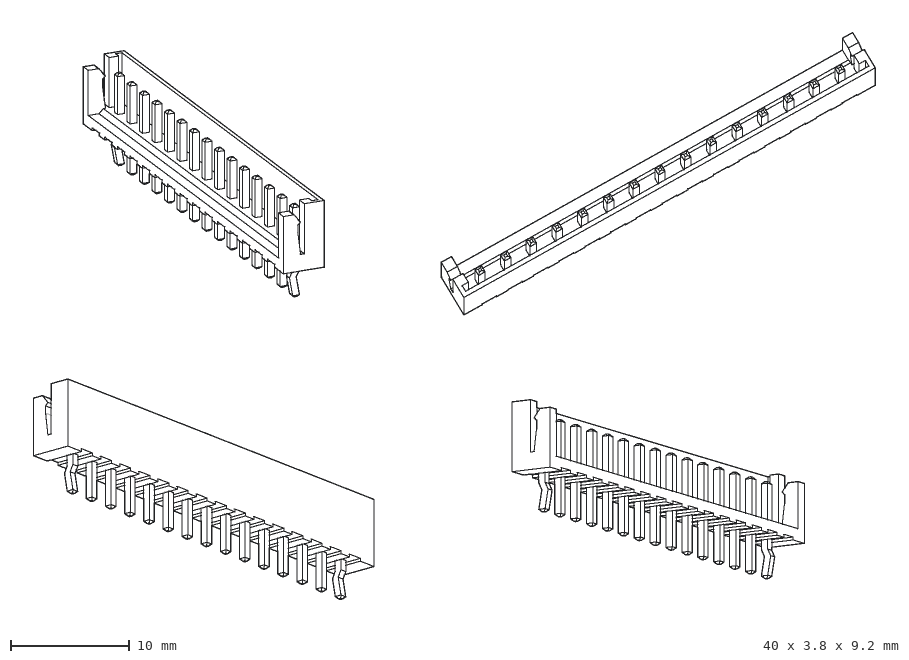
import cadquery as cq

pin_count = 15
pitch = 2.5
pin_size = 0.64
pin_top = 5.1
pin_bottom = -3.2
tip_length = 0.2
tip_size = 0.24

bend_offset = 0.3
bend_start = -0.75
bend_peak = -1.35

end_margin = 2.5
length = (pin_count - 1) * pitch + 2 * end_margin
width = 3.8
height = 6.0
back = 1.6
front = back - width

back_wall = 0.4
back_inner = back - back_wall
recess_depth = 0.57
end_wall = 1.0
thin_end_wall = 0.4
recess_front = back_inner - recess_depth
floor = 1.5
lip_height = 1.1
slope_back = back - 2.4
slope_front = back - 2.8

arm_height = 5.15
slot_back = back - 1.85
nose_y = back - 2.2
nose_z = 4.4
nose_depth = 0.25
nose_chamfer = 0.6
slot_wide_bottom = 3.5

notch_width = 1.4
notch_depth = 0.25

pin_positions = [(i - (pin_count - 1) / 2) * pitch for i in range(pin_count)]


def box(x_range, y_range, z_range):
    """Box spanning the given (low, high) ranges."""
    sizes = [high - low for low, high in (x_range, y_range, z_range)]
    corner = (x_range[0], y_range[0], z_range[0])
    return cq.Workplane("XY").box(*sizes, centered=False).translate(corner)


def prism(outline, x_length):
    """Closed (Y, Z) outline extruded symmetrically about X = 0."""
    return cq.Workplane("YZ").polyline(outline).close().extrude(x_length / 2, both=True)


def cavity():
    """Space between the end walls: flat floor, sloping down to a low front lip."""
    main = prism(
        [
            (back_inner, height),
            (back_inner, floor),
            (slope_back, floor),
            (slope_front, lip_height),
            (front, lip_height),
            (front, height),
        ],
        length - 2 * end_wall,
    )
    recess_x = length / 2 - thin_end_wall
    recess = box((-recess_x, recess_x), (recess_front, back_inner), (floor, height))
    return main.union(recess)


def end_slots():
    """Slot that parts each end wall into a post and a lower, nosed arm."""
    return prism(
        [
            (slot_back, height),
            (slot_back, floor),
            (nose_y, floor),
            (nose_y - nose_depth, slot_wide_bottom),
            (nose_y - nose_depth, nose_z - nose_depth),
            (nose_y, nose_z),
            (nose_y - nose_chamfer, arm_height),
            (front, arm_height),
            (front, height),
        ],
        length,
    )


def housing():
    body = box((-length / 2, length / 2), (front, back), (0, height))
    body = body.cut(cavity()).cut(end_slots())
    for x in pin_positions:
        notch_x = (x - notch_width / 2, x + notch_width / 2)
        body = body.cut(box(notch_x, (front, back), (0, notch_depth)))
    return body


def pin_tip(z, direction):
    """Blunt pyramid on the square pin end at height z; direction is 1 up, -1 down."""
    return (
        cq.Workplane("XY", origin=(0, 0, z))
        .rect(pin_size, pin_size)
        .workplane(offset=direction * tip_length)
        .rect(tip_size, tip_size)
        .loft(ruled=True)
    )


def pin(bend):
    """Square pin at X = 0, its tail bowed towards -Y by the given bend."""
    half = pin_size / 2
    shaft_top = pin_top - tip_length
    shaft_bottom = pin_bottom + tip_length
    outline = [(half, shaft_top), (-half, shaft_top)]
    if bend:
        outline += [(-half, bend_start), (-half - bend, bend_peak)]
    outline += [(-half, shaft_bottom), (half, shaft_bottom)]
    if bend:
        outline += [(half - bend, bend_peak), (half, bend_start)]
    shaft = prism(outline, pin_size)
    return shaft.union(pin_tip(shaft_top, 1)).union(pin_tip(shaft_bottom, -1))


result = housing()
for x in pin_positions:
    is_end_pin = x in (pin_positions[0], pin_positions[-1])
    result = result.union(pin(bend_offset if is_end_pin else 0).translate((x, 0, 0)))